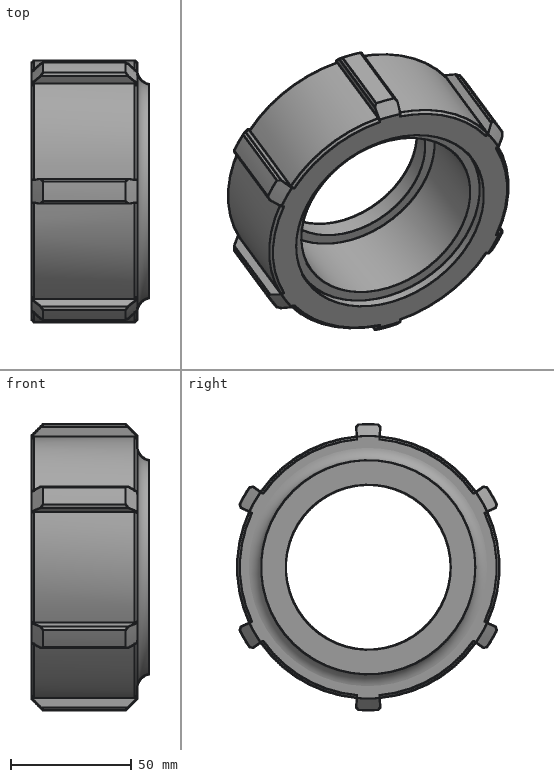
import cadquery as cq
import math

total_length = 49.0
body_length = 44.1
body_radius = 109.1 / 2
body_chamfer = 1.2

collar_root_radius = 49.5
collar_end_radius = 44.5
collar_arc_radius = 6.0

recess_radius = 85.5 / 2
main_bore_radius = 77.0 / 2
back_bore_radius = 68.4 / 2
recess_depth = 4.3
back_lip_start = 40.5

rib_count = 6
rib_tip_radius = 59.5
rib_half_angle = math.radians(5)
rib_edge_chamfer = 1.1
rib_root_radius = 51.2


def make_ring():
    """Revolve the body, collar and stepped bore in one half section."""
    return (
        cq.Workplane("XY")
        .moveTo(0, recess_radius)
        .lineTo(0, body_radius - body_chamfer)
        .lineTo(body_chamfer, body_radius)
        .lineTo(body_length - body_chamfer, body_radius)
        .lineTo(body_length, body_radius - body_chamfer)
        .lineTo(body_length, collar_root_radius)
        .radiusArc((total_length, collar_end_radius), -collar_arc_radius)
        .lineTo(total_length, back_bore_radius)
        .lineTo(back_lip_start, back_bore_radius)
        .lineTo(back_lip_start, main_bore_radius)
        .lineTo(recess_depth, main_bore_radius)
        .lineTo(recess_depth, recess_radius)
        .close()
        .revolve(360, (0, 0), (1, 0))
    )


def make_rib():
    """Make the top rib: radial sides, a round tip and chamfered long edges."""
    side_radius = rib_tip_radius - rib_edge_chamfer
    tip_half_angle = rib_half_angle - rib_edge_chamfer / rib_tip_radius

    def at(radius, angle):
        return (radius * math.sin(angle), radius * math.cos(angle))

    return (
        cq.Workplane("YZ")
        .moveTo(*at(rib_root_radius, -rib_half_angle))
        .lineTo(*at(side_radius, -rib_half_angle))
        .lineTo(*at(rib_tip_radius, -tip_half_angle))
        .threePointArc((0, rib_tip_radius), at(rib_tip_radius, tip_half_angle))
        .lineTo(*at(side_radius, rib_half_angle))
        .lineTo(*at(rib_root_radius, rib_half_angle))
        .close()
        .extrude(body_length)
    )


def make_rib_envelope():
    """Solid of revolution whose 45 degree cones bevel the rib ends."""
    end_bevel = rib_tip_radius - body_radius
    return (
        cq.Workplane("XY")
        .moveTo(0, 0)
        .lineTo(0, body_radius)
        .lineTo(end_bevel, rib_tip_radius)
        .lineTo(body_length - end_bevel, rib_tip_radius)
        .lineTo(body_length, body_radius)
        .lineTo(body_length, 0)
        .close()
        .revolve(360, (0, 0), (1, 0))
    )


rib = make_rib().intersect(make_rib_envelope())
result = make_ring()
for index in range(rib_count):
    rib_angle = index * 360 / rib_count
    result = result.union(rib.rotate((0, 0, 0), (1, 0, 0), rib_angle))